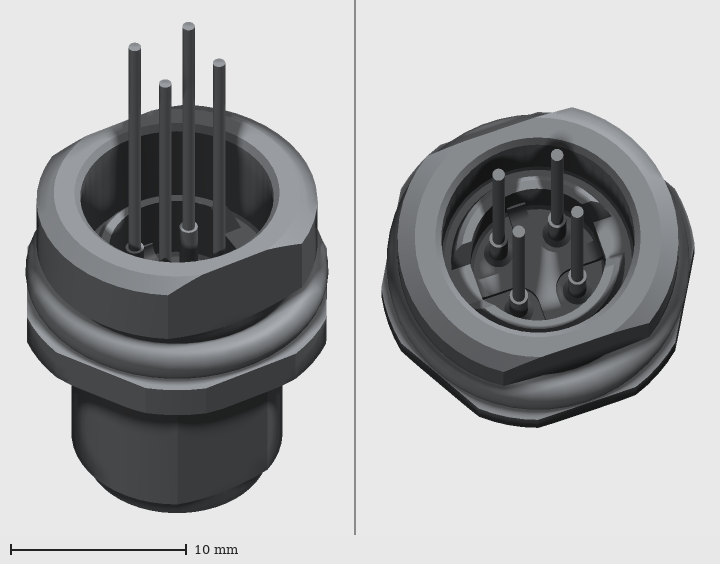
import cadquery as cq
import math


nose_top = 1.0
neck_chamfer_top = 1.4
flange_bottom = 10.95
flange_top = 13.05
bore_floor = 14.2
rim_top = 15.8
head_bottom = 15.3
head_top = 20.02
wire_top = 30.7

nose_radius = 10.4 / 2
neck_radius = 12.0 / 2
neck_across_flats = 10.47
groove_radius = 13.3 / 2
head_radius = 15.95 / 2
head_across_flats = 13.35
head_face_radius = 7.0
slope_30 = math.tan(math.radians(30))
head_top_chamfer = (head_radius - head_face_radius) * slope_30
head_bottom_chamfer = (head_radius - groove_radius) * slope_30

flange_across_flats = 17.0
flange_corner_radius = 9.0
flange_chamfer_width = 0.3
flange_chamfer_height = 0.15
hex_turn = 15.0

seal_wire_radius = 2.0 / 2
seal_press = 0.03

bore_radius = 11.0 / 2
bore_mouth_radius = 5.83
bore_mouth_chamfer = 0.35
bore_floor_chamfer = 0.15

rim_base_radius = 4.95
rim_shoulder_radius = 4.67
rim_top_radius = 4.35
rim_shoulder = rim_top - (rim_shoulder_radius - rim_top_radius)
notch_floor_width = 2.2
notch_top_width = 3.93

well_radius = 7.7 / 2
well_floor_radius = 3.65
well_floor = 11.67
step_distance = 3.7

web_width = 1.07
web_top = 12.13
web_cove_radius = 0.68
web_cove_end = step_distance

contact_distance = 2.5
contact_radius = 1.05 / 2
contact_top = 15.17
contact_foot_radius = 0.83
contact_foot_height = 0.3
wire_radius = 0.7 / 2

contact_angles = (0, 90, 180, 270)
web_angles = (45, 135, 225, 315)
notch_angles = (45, 225)
flat_axis_angle = 45


def revolve_profile(points):
    """Solid of revolution about Z from (radius, height) points."""
    return cq.Workplane("XZ").polyline(points).close().revolve(360, (0, 0), (0, 1))


def two_flats(across, bottom, top):
    """Slab whose two faces point along the -X+Y and +X-Y diagonals."""
    return (
        cq.Workplane("XY")
        .workplane(offset=bottom)
        .rect(2 * head_radius, across)
        .extrude(top - bottom)
        .rotate((0, 0, 0), (0, 0, 1), flat_axis_angle)
    )


def make_neck():
    turned = revolve_profile([
        (0, 0),
        (nose_radius, 0),
        (nose_radius, nose_top),
        (neck_radius, neck_chamfer_top),
        (neck_radius, flange_bottom),
        (0, flange_bottom),
    ])
    return turned.intersect(two_flats(neck_across_flats, 0, flange_bottom))


def make_flange():
    hexagon = (
        cq.Workplane("XY")
        .workplane(offset=flange_bottom)
        .polygon(6, flange_across_flats, circumscribed=True)
        .extrude(flange_top - flange_bottom)
        .rotate((0, 0, 0), (0, 0, 1), hex_turn)
    )
    turned = revolve_profile([
        (0, flange_bottom),
        (flange_corner_radius - flange_chamfer_width, flange_bottom),
        (flange_corner_radius, flange_bottom + flange_chamfer_height),
        (flange_corner_radius, flange_top),
        (0, flange_top),
    ])
    return hexagon.intersect(turned)


def make_head():
    turned = revolve_profile([
        (0, flange_top),
        (groove_radius, flange_top),
        (groove_radius, head_bottom),
        (head_radius, head_bottom + head_bottom_chamfer),
        (head_radius, head_top - head_top_chamfer),
        (head_face_radius, head_top),
        (0, head_top),
    ])
    return turned.intersect(two_flats(head_across_flats, flange_top, head_top))


def make_seal():
    center_radius = groove_radius + seal_wire_radius - seal_press
    center_height = flange_top + seal_wire_radius - seal_press
    return (
        cq.Workplane("XZ")
        .center(center_radius, center_height)
        .circle(seal_wire_radius)
        .revolve(360, (-center_radius, 0), (-center_radius, 1))
    )


def make_bore():
    return revolve_profile([
        (0, bore_floor),
        (bore_radius - bore_floor_chamfer, bore_floor),
        (bore_radius, bore_floor + bore_floor_chamfer),
        (bore_radius, head_top - bore_mouth_chamfer),
        (bore_mouth_radius, head_top),
        (0, head_top),
    ])


def make_rim():
    """Stepped conical rim with tapered notches at the +X+Y and -X-Y sides."""
    rim = revolve_profile([
        (0, bore_floor),
        (rim_base_radius, bore_floor),
        (rim_shoulder_radius, rim_shoulder),
        (rim_top_radius, rim_top),
        (0, rim_top),
    ])
    notch = (
        cq.Workplane("YZ")
        .polyline([
            (-notch_floor_width / 2, bore_floor),
            (notch_floor_width / 2, bore_floor),
            (notch_top_width / 2, rim_top),
            (-notch_top_width / 2, rim_top),
        ])
        .close()
        .extrude(bore_radius, both=True)
        .rotate((0, 0, 0), (0, 0, 1), notch_angles[0])
    )
    return rim.cut(notch)


def make_well():
    """Space inside the rim, flattened below the two notches."""
    floor_chamfer = well_radius - well_floor_radius
    well = revolve_profile([
        (0, well_floor),
        (well_floor_radius, well_floor),
        (well_radius, well_floor + floor_chamfer),
        (well_radius, rim_top),
        (0, rim_top),
    ])
    step_depth = well_radius - step_distance
    for angle in notch_angles:
        step = (
            cq.Workplane("XY")
            .box(2 * step_depth, notch_floor_width, bore_floor - well_floor, centered=(False, True, False))
            .translate((step_distance, 0, well_floor))
            .rotate((0, 0, 0), (0, 0, 1), angle)
        )
        well = well.cut(step)
    return well


def make_web_arm(angle):
    """One arm of the web, curving up to meet the wall of the well."""
    cove_start = web_cove_end - web_cove_radius
    cove_top = web_top + web_cove_radius
    mid_offset = web_cove_radius * math.sqrt(0.5)
    return (
        cq.Workplane("XZ")
        .moveTo(0, well_floor)
        .lineTo(well_radius, well_floor)
        .lineTo(well_radius, cove_top)
        .lineTo(web_cove_end, cove_top)
        .threePointArc((cove_start + mid_offset, cove_top - mid_offset), (cove_start, web_top))
        .lineTo(0, web_top)
        .close()
        .extrude(web_width / 2, both=True)
        .rotate((0, 0, 0), (0, 0, 1), angle)
    )


def make_web():
    """Four arms and a centre hollowed by a round clearance about each contact."""
    tangent_distance = contact_distance * math.sqrt(0.5)
    clearance_radius = tangent_distance - web_width / 2
    web = (
        cq.Workplane("XY")
        .workplane(offset=well_floor)
        .rect(2 * tangent_distance, 2 * tangent_distance)
        .extrude(web_top - well_floor)
        .rotate((0, 0, 0), (0, 0, 1), web_angles[0])
    )
    clearances = (
        cq.Workplane("XY")
        .workplane(offset=well_floor)
        .polarArray(contact_distance, 0, 360, len(contact_angles))
        .circle(clearance_radius)
        .extrude(web_top - well_floor)
    )
    web = web.cut(clearances)
    for angle in web_angles:
        web = web.union(make_web_arm(angle))
    return web


def make_contact(angle):
    """Contact with a conical foot, carrying a straight wire."""
    contact = revolve_profile([
        (0, well_floor),
        (contact_foot_radius, well_floor),
        (contact_radius, well_floor + contact_foot_height),
        (contact_radius, contact_top),
        (wire_radius, contact_top),
        (wire_radius, wire_top),
        (0, wire_top),
    ])
    return contact.translate((contact_distance, 0, 0)).rotate((0, 0, 0), (0, 0, 1), angle)


result = make_neck().union(make_flange()).union(make_head())
result = result.cut(make_bore()).union(make_rim()).cut(make_well())
result = result.union(make_web())
for contact_angle in contact_angles:
    result = result.union(make_contact(contact_angle))
result = result.union(make_seal())